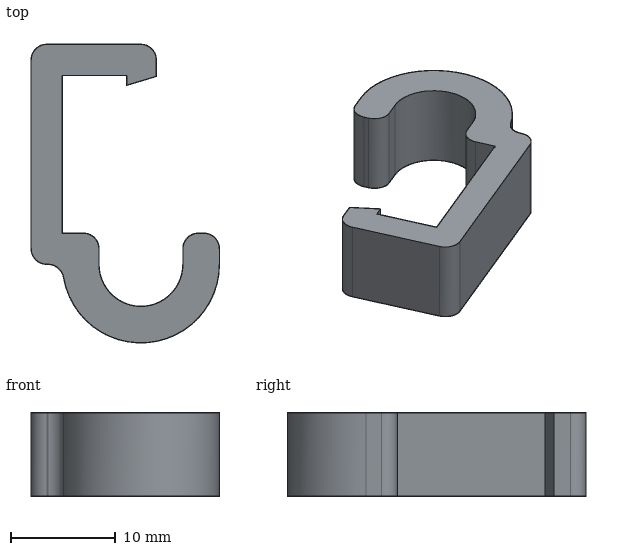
import cadquery as cq
import math

length = 28.55
depth = 8.0
wall = 3.0
corner_radius = 1.5

cradle_outer_radius = 7.5
cradle_inner_radius = 4.0
cradle_x = 10.5
cradle_y = cradle_outer_radius
shoulder_y = cradle_y + wall

arm_length = 12.0
arm_end_y = length - 3.08
lip_x = 9.13
lip_y = length - 3.95
arm_under_y = length - wall

bore_left = cradle_x - cradle_inner_radius
bore_right = cradle_x + cradle_inner_radius
cradle_right = cradle_x + cradle_outer_radius

blend_distance = cradle_outer_radius + corner_radius
blend_x = cradle_x - math.sqrt(blend_distance**2 - corner_radius**2)
blend_y = cradle_y - corner_radius
blend_angle = math.degrees(math.atan2(cradle_y - blend_y, cradle_x - blend_x))


def on_circle(x, y, radius, angle):
    """Point on a circle at an angle in degrees from +X."""
    a = math.radians(angle)
    return (x + radius * math.cos(a), y + radius * math.sin(a))


def arc(path, x, y, radius, start, end):
    """Continue the path, already at the start angle, round to the end angle."""
    middle = on_circle(x, y, radius, (start + end) / 2)
    return path.threePointArc(middle, on_circle(x, y, radius, end))


def round_corner(path, x, y, start, end):
    """Run straight to a rounded corner centred at (x, y), then round it."""
    path = path.lineTo(*on_circle(x, y, corner_radius, start))
    return arc(path, x, y, corner_radius, start, end)


profile = (
    cq.Workplane("XY")
    .moveTo(arm_length, arm_end_y)
    .lineTo(lip_x, lip_y)
    .lineTo(lip_x, arm_under_y)
    .lineTo(wall, arm_under_y)
    .lineTo(wall, shoulder_y)
)
tip_y = shoulder_y - corner_radius
profile = round_corner(profile, bore_left - corner_radius, tip_y, 90, 0)
profile = profile.lineTo(bore_left, cradle_y)
profile = arc(profile, cradle_x, cradle_y, cradle_inner_radius, 180, 360)

profile = round_corner(profile, bore_right + corner_radius, tip_y, 180, 90)
profile = round_corner(profile, cradle_right - corner_radius, tip_y, 90, 0)
profile = profile.lineTo(cradle_right, cradle_y)
profile = arc(profile, cradle_x, cradle_y, cradle_outer_radius, 0, blend_angle - 180)

profile = arc(profile, blend_x, blend_y, corner_radius, blend_angle, 90)
profile = round_corner(profile, corner_radius, cradle_y + corner_radius, 270, 180)
profile = round_corner(profile, corner_radius, length - corner_radius, 180, 90)
profile = round_corner(profile, arm_length - corner_radius, length - corner_radius, 90, 0)

result = profile.close().extrude(depth)